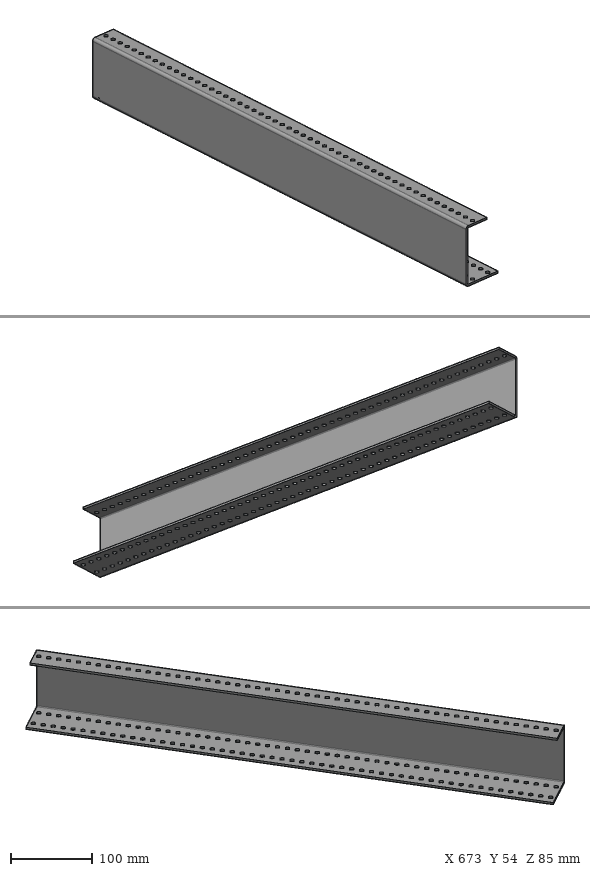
import cadquery as cq

length = 673
depth = 54
height = 85.0
upper_flange_depth = 35.0

thickness = 3.0
outer_bend_radius = 4.0
inner_bend_radius = outer_bend_radius - thickness

hole_count = 53
hole_pitch = length / hole_count
hole_diameter = 5.5
row_spacing = 25.5
front_row_inset = 17.0

front_y = -depth / 2
back_y = depth / 2
bottom_z = -height / 2
top_z = height / 2
front_row_y = front_y + front_row_inset
back_row_y = front_row_y + row_spacing


def make_channel():
    """Unequal channel: upright web at the front, both flanges pointing to +Y."""
    upper_edge_y = front_y + upper_flange_depth
    web_inside_y = front_y + thickness
    lower_inside_z = bottom_z + thickness
    upper_inside_z = top_z - thickness
    bend_y = front_y + outer_bend_radius
    lower_bend_z = bottom_z + outer_bend_radius
    upper_bend_z = top_z - outer_bend_radius
    return (
        cq.Workplane("YZ", origin=(-length / 2, 0, 0))
        .moveTo(back_y, bottom_z)
        .lineTo(back_y, lower_inside_z)
        .lineTo(bend_y, lower_inside_z)
        .radiusArc((web_inside_y, lower_bend_z), inner_bend_radius)
        .lineTo(web_inside_y, upper_bend_z)
        .radiusArc((bend_y, upper_inside_z), inner_bend_radius)
        .lineTo(upper_edge_y, upper_inside_z)
        .lineTo(upper_edge_y, top_z)
        .lineTo(bend_y, top_z)
        .radiusArc((front_y, upper_bend_z), -outer_bend_radius)
        .lineTo(front_y, lower_bend_z)
        .radiusArc((bend_y, bottom_z), -outer_bend_radius)
        .close()
        .extrude(length)
    )


def make_hole_row(row_y, row_height):
    """Row of upright cylinders rising from the underside of the part."""
    return (
        cq.Workplane("XY", origin=(0, row_y, bottom_z))
        .rarray(hole_pitch, 7, hole_count, 1)
        .circle(hole_diameter / 2)
        .extrude(row_height)
    )


front_row = make_hole_row(front_row_y, height)
back_row = make_hole_row(back_row_y, thickness)

result = make_channel().cut(front_row).cut(back_row)